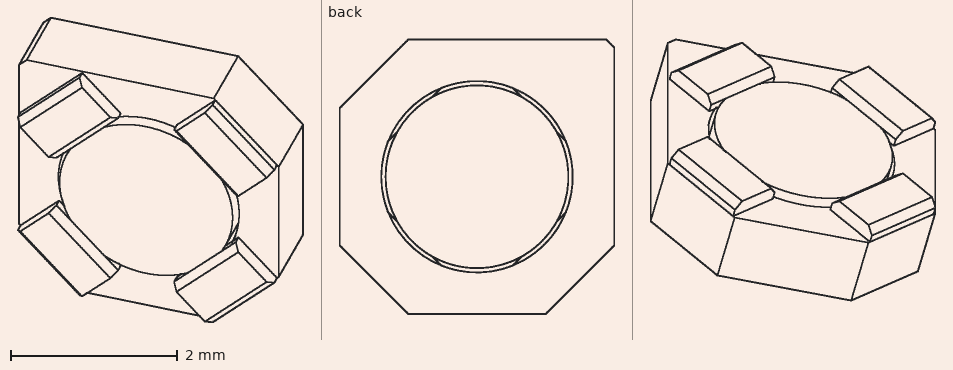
import cadquery as cq

side = 3.3
total_depth = 1.1
step = 0.1
frame_depth = total_depth - 2 * step
corner_cut = 0.825
marker_cut = 0.1

bore_radius = 1.15
core_radius = 1.1

pad_length = 1.11
pad_inner = 1.055
pad_outer = 1.75
pad_bevel = 0.092

half = side / 2
back_y = total_depth / 2
frame_front_y = back_y - frame_depth


def make_frame():
    inset = half - corner_cut
    marker_inset = half - marker_cut
    outline = [
        (-marker_inset, half), (inset, half),
        (half, inset), (half, -inset),
        (inset, -half), (-inset, -half),
        (-half, -inset), (-half, marker_inset),
    ]
    return (
        cq.Workplane("XZ", origin=(0, back_y, 0))
        .polyline(outline).close()
        .extrude(frame_depth)
        .faces("<Y").workplane(origin=(0, 0, 0))
        .circle(bore_radius)
        .cutThruAll()
    )


def make_core():
    return (
        cq.Workplane("XZ", origin=(0, back_y, 0))
        .circle(core_radius)
        .extrude(frame_depth + step)
    )


def make_pad(angle):
    shoulder_y = frame_front_y - step
    front_y = shoulder_y - step
    section = [
        (pad_inner, frame_front_y), (pad_outer, frame_front_y),
        (pad_outer, shoulder_y), (pad_outer - pad_bevel, front_y),
        (pad_inner + pad_bevel, front_y), (pad_inner, shoulder_y),
    ]
    return (
        cq.Workplane("XY")
        .polyline(section).close()
        .extrude(pad_length / 2, both=True)
        .rotate((0, 0, 0), (0, 1, 0), angle)
    )


result = make_frame().union(make_core())
for pad_angle in (45, 135, 225, 315):
    result = result.union(make_pad(pad_angle))